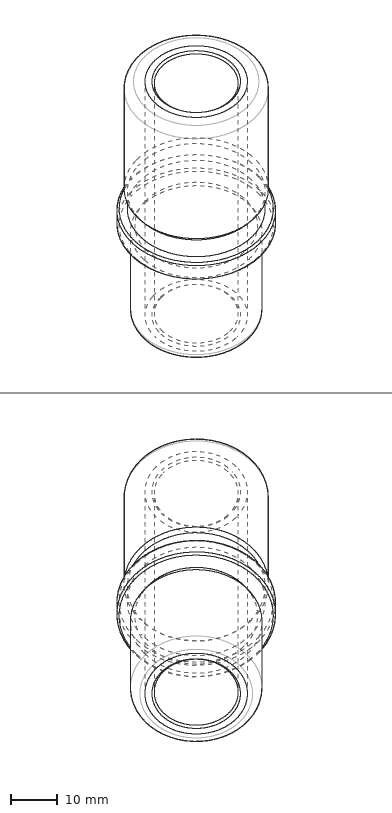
import cadquery as cq

LENGTH = 70.0

HEAD_RADIUS = 30.95 / 2
NECK_RADIUS = 29.55 / 2
FLANGE_RADIUS = 34.0 / 2
SHANK_RADIUS = 28.2 / 2
UNDERCUT_RADIUS = 26.3 / 2

SHANK_TOP = 25.05
FLANGE_BOTTOM = 27.0
FLANGE_TOP = 32.0
NECK_TOP = 37.0
HEAD_BOTTOM = 38.1

END_FILLET = 2.0
FLANGE_CHAMFER = 0.5

LINER_RADIUS = 22.0 / 2
BORE_RADIUS = 18.0 / 2
BORE_CHAMFER = 0.5


def make_sleeve():
    """Flanged outer sleeve with rounded ends and a plain through hole for the liner."""
    profile = (
        cq.Workplane("XZ")
        .moveTo(LINER_RADIUS, 0)
        .lineTo(SHANK_RADIUS - END_FILLET, 0)
        .radiusArc((SHANK_RADIUS, END_FILLET), -END_FILLET)
        .lineTo(SHANK_RADIUS, SHANK_TOP)
        .lineTo(UNDERCUT_RADIUS, FLANGE_BOTTOM)
        .lineTo(FLANGE_RADIUS - FLANGE_CHAMFER, FLANGE_BOTTOM)
        .lineTo(FLANGE_RADIUS, FLANGE_BOTTOM + FLANGE_CHAMFER)
        .lineTo(FLANGE_RADIUS, FLANGE_TOP - FLANGE_CHAMFER)
        .lineTo(FLANGE_RADIUS - FLANGE_CHAMFER, FLANGE_TOP)
        .lineTo(NECK_RADIUS, FLANGE_TOP)
        .lineTo(NECK_RADIUS, NECK_TOP)
        .lineTo(HEAD_RADIUS, HEAD_BOTTOM)
        .lineTo(HEAD_RADIUS, LENGTH - END_FILLET)
        .radiusArc((HEAD_RADIUS - END_FILLET, LENGTH), -END_FILLET)
        .lineTo(LINER_RADIUS, LENGTH)
        .close()
    )
    return profile.revolve(360, (0, 0, 0), (0, 1, 0))


def make_liner():
    """Inner tube, flush with both sleeve ends, with a chamfered bore."""
    tube = cq.Workplane("XY").circle(LINER_RADIUS).circle(BORE_RADIUS).extrude(LENGTH)
    bore_rims = cq.selectors.RadiusNthSelector(0)
    return tube.edges(bore_rims).chamfer(BORE_CHAMFER)


sleeve = make_sleeve()
liner = make_liner()
result = cq.Compound.makeCompound([sleeve.val(), liner.val()])